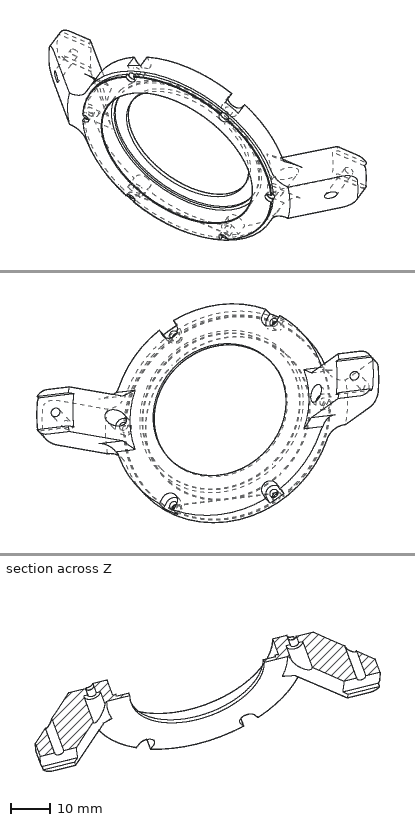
import cadquery as cq
import math

ring_radius = 28.5
ring_back = 6.5
spigot_radius = 27.5
spigot_height = 1.0
spigot_chamfer = 0.2
window_diameter = 35.5
seat_radius = 21.9
seat_chamfer = 0.2
seat_depth = 4.95
seat_step_radius = 21.05
seat_step_depth = 5.5

screw_count = 6
screw_circle_diameter = 53.5
screw_hole_radius = 1.1
counterbore_radius = 2.2
counterbore_floor = 3.15
spigot_slot_radius = 1.3

arm_tip_radius = 45.0
arm_back = 19.0
arm_width = 12.15
arm_front_start_radius = 32.4
arm_back_start_radius = 23.9
arm_corner_radius = 3.1
arm_hole_offset = 39.95
arm_hole_diameter = 2.3
arm_channel_width = 9.0
arm_channel_depth = 1.1

web_radius = 4.95
web_back = 8.5

arm_half_width = arm_width / 2
screw_circle_radius = screw_circle_diameter / 2


def plane_at(y):
    """Sketch plane facing +Y at the given height; local x is -X and local y is +Z."""
    return cq.Workplane(cq.Plane(origin=(0, y, 0), xDir=(-1, 0, 0), normal=(0, 1, 0)))


def disc(radius, start, end):
    return plane_at(start).circle(radius).extrude(end - start)


def cross_box(y_start, y_end, width):
    """Bar along X reaching from one arm tip to the other."""
    length = 2 * arm_tip_radius
    bar = cq.Workplane("XY").box(length, y_end - y_start, width)
    return bar.translate((0, (y_start + y_end) / 2, 0))


def revolved_arm_wall():
    """Funnel-shaped wall from which the two arms are cut."""
    front_rise = arm_tip_radius - arm_front_start_radius
    back_rise = arm_back - ring_back
    profile = (
        cq.Workplane("YZ")
        .moveTo(spigot_height, seat_radius)
        .lineTo(spigot_height, arm_front_start_radius)
        .lineTo(spigot_height + front_rise, arm_tip_radius)
        .lineTo(arm_back, arm_tip_radius)
        .lineTo(arm_back, arm_back_start_radius + back_rise)
        .lineTo(ring_back, arm_back_start_radius)
        .lineTo(ring_back, seat_radius)
        .close()
    )
    return profile.revolve(360, (0, 0, 0), (1, 0, 0))


def web_pair():
    """Concave blends between ring and arms, sloped at 45 degrees on the back."""
    center_z = arm_half_width + web_radius
    center_distance = ring_radius + web_radius
    center_x = math.sqrt(center_distance**2 - center_z**2)
    ring_share = ring_radius / center_distance
    touch_x = center_x * ring_share
    touch_z = center_z * ring_share
    toward_arm = math.radians(-90)
    toward_ring = math.atan2(-center_z, -center_x)
    middle = (toward_arm + toward_ring) / 2
    arc_mid_x = center_x + web_radius * math.cos(middle)
    arc_mid_z = center_z + web_radius * math.sin(middle)

    outline = (
        plane_at(spigot_height)
        .moveTo(seat_radius, -touch_z)
        .lineTo(touch_x, -touch_z)
        .threePointArc((arc_mid_x, -arc_mid_z), (center_x, -arm_half_width))
        .lineTo(center_x, arm_half_width)
        .threePointArc((arc_mid_x, arc_mid_z), (touch_x, touch_z))
        .lineTo(seat_radius, touch_z)
        .close()
    )
    web = outline.extrude(web_back - spigot_height)
    web = web.union(web.mirror("YZ"))

    base_half_width = arm_half_width + web_back - ring_back
    section = (
        cq.Workplane("YZ", origin=(-arm_tip_radius, 0, 0))
        .moveTo(spigot_height, -center_z)
        .lineTo(ring_back, -center_z)
        .lineTo(ring_back, -base_half_width)
        .lineTo(web_back, -arm_half_width)
        .lineTo(web_back, arm_half_width)
        .lineTo(ring_back, base_half_width)
        .lineTo(ring_back, center_z)
        .lineTo(spigot_height, center_z)
        .close()
        .extrude(2 * arm_tip_radius)
    )
    return web.intersect(section)


def arm_pair():
    strip = disc(arm_tip_radius, 0, arm_back)
    strip = strip.intersect(cross_box(0, arm_back, arm_width))
    strip = strip.edges("|Y").fillet(arm_corner_radius)
    channel = cross_box(arm_back - arm_channel_depth, arm_back, arm_channel_width)
    blank = strip.cut(channel).union(web_pair())
    return blank.intersect(revolved_arm_wall())


def screw_recess(radius, start, end, open_to_rim):
    """Round recess on the Y axis, optionally continued as a slot toward +X past the rim."""
    recess = disc(radius, start, end)
    if open_to_rim:
        length = 2 * (ring_radius - screw_circle_radius)
        slot = cq.Workplane("XY").box(length, end - start, 2 * radius)
        recess = recess.union(slot.translate((length / 2, (start + end) / 2, 0)))
    return recess


def at_screw(tool, index, distance):
    """Move a tool from the Y axis to the given distance from it, at one screw's angle."""
    moved = tool.translate((distance, 0, 0))
    return moved.rotate((0, 0, 0), (0, 1, 0), 360 * index / screw_count)


def slotted_spigot():
    spigot = disc(spigot_radius, 0, spigot_height).faces("<Y").chamfer(spigot_chamfer)
    slot = screw_recess(spigot_slot_radius, 0, spigot_height, True)
    distance = screw_circle_radius + spigot_slot_radius - screw_hole_radius
    for index in range(screw_count):
        spigot = spigot.cut(at_screw(slot, index, distance))
    return spigot


def ring_body():
    return disc(ring_radius, spigot_height, ring_back).union(slotted_spigot())


def cut_bore(body):
    body = body.cut(disc(window_diameter / 2, 0, ring_back))
    mouth_radius = seat_radius + seat_chamfer
    mouth = cq.Solid.makeCone(
        mouth_radius,
        seat_radius,
        seat_chamfer,
        pnt=cq.Vector(0, 0, 0),
        dir=cq.Vector(0, 1, 0),
    )
    body = body.cut(disc(seat_radius, 0, seat_depth)).cut(mouth)
    return body.cut(disc(seat_step_radius, 0, seat_step_depth))


def cut_screw_holes(body):
    hole = disc(screw_hole_radius, 0, arm_back)
    for index in range(screw_count):
        under_arm = index % (screw_count // 2) == 0
        counterbore = screw_recess(counterbore_radius, counterbore_floor, arm_back, not under_arm)
        tool = hole.union(counterbore)
        body = body.cut(at_screw(tool, index, screw_circle_radius))
    return body


def cut_arm_holes(body):
    for side in (-1, 1):
        hole = disc(arm_hole_diameter / 2, 0, arm_back)
        body = body.cut(hole.translate((side * arm_hole_offset, 0, 0)))
    return body


result = ring_body().union(arm_pair())
result = cut_bore(result)
result = cut_screw_holes(result)
result = cut_arm_holes(result)